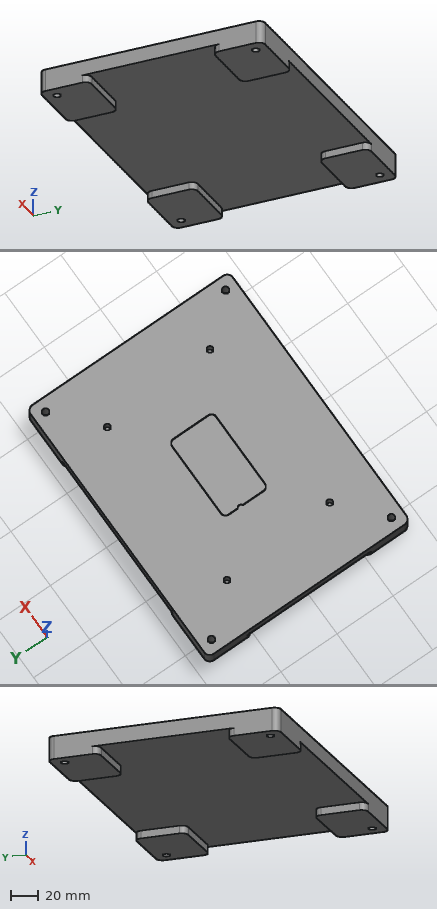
import cadquery as cq

length = 230.0
width = 180.0
height = 18.0
corner_radius = 5.0

foot_length = 50.0
foot_width = 40.0
foot_height = 6.0
plate_thickness = height - foot_height

mount_diameter = 5.5
mount_inset = 10.0
mount_x = length / 2 - mount_inset
mount_y = width / 2 - mount_inset

blind_diameter = 5.0
blind_depth = 10.0
blind_centres = [(70.0, 50.0), (75.0, -45.0)]

pocket_length = 70.0
pocket_width = 39.0
pocket_depth = 1.5
pocket_radius = 4.0
key_radius = 2.5
key_reach = 1.4
key_y = 5.3


def rounded_block(size_x, size_y, size_z, radius):
    """Block standing on Z = 0, with rounded vertical edges."""
    block = cq.Workplane("XY").box(size_x, size_y, size_z, centered=(True, True, False))
    return block.edges("|Z").fillet(radius)


def make_body():
    """Plate carried on four feet flush with its outer corners."""
    body = rounded_block(length, width, plate_thickness, corner_radius)
    body = body.translate((0, 0, foot_height))
    foot = rounded_block(foot_length, foot_width, foot_height, corner_radius)
    for side_x in (-1, 1):
        for side_y in (-1, 1):
            foot_x = side_x * (length - foot_length) / 2
            foot_y = side_y * (width - foot_width) / 2
            body = body.union(foot.translate((foot_x, foot_y, 0)))
    return body


def make_mount_holes():
    """Cutters running through the full height."""
    holes = cq.Workplane("XY").rect(2 * mount_x, 2 * mount_y, forConstruction=True)
    return holes.vertices().circle(mount_diameter / 2).extrude(height)


def make_blind_holes():
    """Cutters reaching down from the top face."""
    opposite_centres = [(-x, -y) for x, y in blind_centres]
    holes = cq.Workplane("XY").workplane(offset=height).pushPoints(blind_centres + opposite_centres)
    return holes.circle(blind_diameter / 2).extrude(-blind_depth)


def make_pocket():
    """Pocket cutter, leaving the key standing on the pocket floor."""
    pocket = rounded_block(pocket_length, pocket_width, pocket_depth, pocket_radius)
    key_x = -pocket_length / 2 + key_reach - key_radius
    key = cq.Workplane("XY").center(key_x, key_y).circle(key_radius).extrude(pocket_depth)
    pocket = pocket.cut(key)
    return pocket.translate((0, 0, height - pocket_depth))


result = make_body().cut(make_mount_holes()).cut(make_blind_holes()).cut(make_pocket())